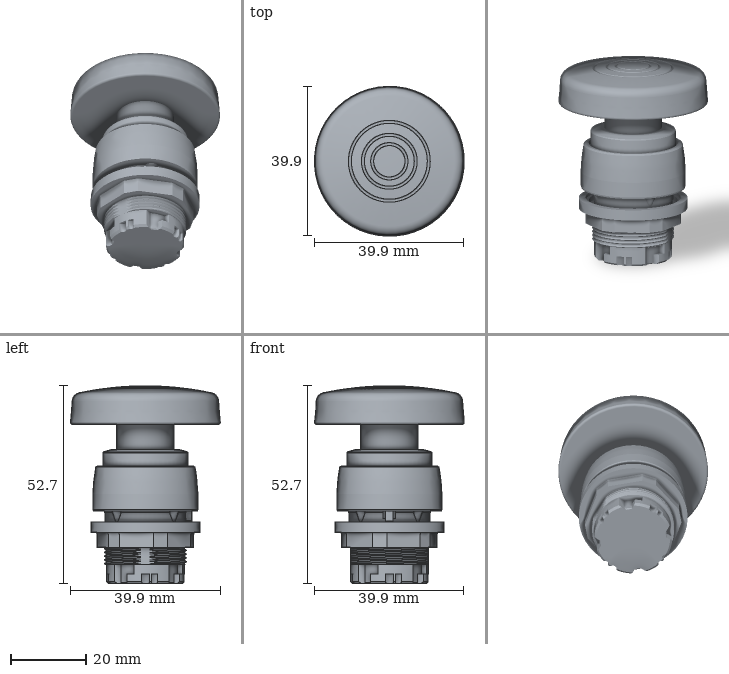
import cadquery as cq
import math


body_top = 5.1
thread_top = 9.7
nut_top = 13.65
flange_top = 16.45
collar_bottom = 19.4
collar_top = 31.4
plug_shoulder = 35.1
plug_top = 35.75
cap_bottom = 42.4
total_height = 52.7

body_radius = 20.75 / 2
body_chamfer = 0.6
slot_floor_radius = 18.1 / 2
slot_floor_chamfer = 0.25
slot_wall_offset = 6.3
entry_wall_offset = 4.95
arm_end_offset = 3.0
arm_bottom = 2.6
groove_centers_and_radii = ((0.05, 1.05), (2.5, 0.85))

thread_major_radius = 21.85 / 2
thread_root_radius = 20.9 / 2
thread_pitch = 1.0
thread_base_width = 0.9
thread_sink = 0.15
thread_flat_distance = 20.75

nut_sides = 6
nut_radius = 12.85
nut_flat_span = 42.5
nut_turn = 18.5
nut_flare_height = 0.55
nut_flare = 0.15

flange_radius = 29.0 / 2
recess_radius = 25.35 / 2
recess_depth = 0.8
inner_recess_radius = 11.8
inner_recess_depth = 2.1

neck_radius = 21.6 / 2
neck_bottom = 16.25
neck_rim_radius = 21.85 / 2
neck_rim_height = 0.4
spike_bottom_radius = 0.75
spike_top_radius = 1.9
spike_axis_inset = 0.8
tab_width = 2.0
tab_reach = 12.4
tab_bottom = 16.75
pocket_width = 3.35
pocket_bottom = 17.4
pocket_depth = 0.55

collar_radius = 28.0 / 2
collar_bottom_radius = 27.65 / 2
collar_bottom_chamfer = 0.4
collar_straight_top = 23.85
collar_mid_radius = 13.75
collar_shoulder_radius = 13.25
collar_shoulder_drop = 0.35
collar_top_radius = 25.35 / 2
plug_radius = 22.7 / 2
plug_edge_chamfer = 0.3
plug_top_radius = 18.1 / 2
gap_outer_radius = 11.85
gap_depth = 1.05
stem_radius = 15.3 / 2

cap_radius = 39.9 / 2
cap_bottom_edge = 0.65
cap_side_top = 48.65
cap_side_top_radius = 19.5
cap_dome_edge_radius = 17.5
cap_dome_edge = 50.85
ring_groove_radii = (4.6, 7.05, 10.55)
ring_groove_width = 0.8
ring_groove_depth = 0.2


def cylinder(radius, bottom, top):
    return cq.Workplane("XY").workplane(offset=bottom).circle(radius).extrude(top - bottom)


def block(x_min, x_max, y_min, y_max, z_min, z_max):
    size = (x_max - x_min, y_max - y_min, z_max - z_min)
    return cq.Workplane("XY").box(*size, centered=False).translate((x_min, y_min, z_min))


def revolve(profile):
    return profile.close().revolve(360, (0, 0, 0), (0, 1, 0))


def around_axis(shape, start=0):
    """Four copies of a shape, a quarter turn apart."""
    copies = cq.Workplane("XY")
    for quarter in range(4):
        copies = copies.add(shape.rotate((0, 0, 0), (0, 0, 1), start + 90 * quarter))
    return copies.vals()


def cut_all(solid, cutters):
    for cutter in cutters:
        solid = solid.cut(cq.Workplane(cutter))
    return solid


def make_body():
    body = cylinder(body_radius, 0, body_top).faces("<Z").chamfer(body_chamfer)
    outside = -2 * body_radius
    entry = block(outside, -entry_wall_offset, outside, -slot_wall_offset, 0, body_top)
    arm = block(outside, -arm_end_offset, outside, -slot_wall_offset, arm_bottom, body_top)
    slot_floor = cylinder(slot_floor_radius, 0, body_top).faces("<Z").chamfer(slot_floor_chamfer)
    slot = entry.union(arm).cut(slot_floor)
    body = cut_all(body, around_axis(slot))
    for center, radius in groove_centers_and_radii:
        rim_y = -math.sqrt(body_radius**2 - center**2)
        groove = cylinder(radius, 0, arm_bottom).translate((center, rim_y, 0))
        body = cut_all(body, around_axis(groove))
    return body


def make_thread():
    base_radius = thread_root_radius - thread_sink
    start = body_top - thread_pitch
    height = thread_top - body_top + 2 * thread_pitch
    helix = cq.Wire.makeHelix(thread_pitch, height, base_radius, center=cq.Vector(0, 0, start))
    half_width = thread_base_width / 2
    ridge = (
        cq.Workplane("XZ")
        .moveTo(base_radius, start - half_width)
        .lineTo(thread_major_radius, start)
        .lineTo(base_radius, start + half_width)
        .close()
        .sweep(cq.Workplane(helix), isFrenet=True)
    )
    half_flat = thread_flat_distance / 2
    reach = 2 * thread_major_radius
    envelope = block(-half_flat, half_flat, -reach, reach, body_top, thread_top)
    core = cylinder(thread_root_radius, start - thread_pitch, start + height + thread_pitch)
    return core.union(ridge).intersect(envelope)


def nut_outline(radius, height):
    corners = []
    for side in range(nut_sides):
        middle = math.radians(nut_turn - 90 + side * 360 / nut_sides)
        half_span = math.radians(nut_flat_span / 2)
        for angle in (middle - half_span, middle + half_span):
            corners.append((radius * math.cos(angle), radius * math.sin(angle)))
    return cq.Workplane("XY").workplane(offset=height).polyline(corners).close()


def make_nut():
    flare_bottom = nut_top - nut_flare_height
    prism = nut_outline(nut_radius, thread_top).extrude(flare_bottom - thread_top)
    flare_angle = math.degrees(math.atan(nut_flare / nut_flare_height))
    flare = nut_outline(nut_radius, flare_bottom).extrude(nut_flare_height, taper=-flare_angle)
    return prism.union(flare)


def make_flange():
    flange = cylinder(flange_radius, nut_top, flange_top)
    flange = flange.cut(cylinder(recess_radius, flange_top - recess_depth, flange_top))
    return flange.cut(cylinder(inner_recess_radius, flange_top - inner_recess_depth, flange_top))


def make_neck():
    neck = cylinder(thread_root_radius, nut_top, neck_bottom)
    neck = neck.union(cylinder(neck_radius, neck_bottom, collar_bottom))
    neck = neck.union(cylinder(neck_rim_radius, collar_bottom - neck_rim_height, collar_bottom))
    spike_base = cq.Vector(neck_radius - spike_axis_inset, 0, neck_bottom)
    spike_height = collar_bottom - neck_bottom
    cone = cq.Solid.makeCone(spike_bottom_radius, spike_top_radius, spike_height, spike_base)
    for spike in around_axis(cq.Workplane(cone), start=45):
        neck = neck.union(cq.Workplane(spike))
    half_pocket = pocket_width / 2
    pocket_floor = -neck_radius + pocket_depth
    pocket = block(-half_pocket, half_pocket, -tab_reach, pocket_floor, pocket_bottom, collar_bottom)
    half_tab = tab_width / 2
    tab = block(-half_tab, half_tab, -tab_reach, -neck_radius / 2, tab_bottom, collar_bottom)
    return neck.cut(pocket).union(tab)


def make_collar_and_plug():
    shoulder = collar_top - collar_shoulder_drop
    taper_middle = (collar_straight_top + shoulder) / 2
    profile = (
        cq.Workplane("XZ")
        .moveTo(0, collar_bottom)
        .lineTo(collar_bottom_radius, collar_bottom)
        .lineTo(collar_radius, collar_bottom + collar_bottom_chamfer)
        .lineTo(collar_radius, collar_straight_top)
        .threePointArc((collar_mid_radius, taper_middle), (collar_shoulder_radius, shoulder))
        .lineTo(collar_top_radius, collar_top)
        .lineTo(gap_outer_radius, collar_top)
        .lineTo(gap_outer_radius, collar_top - gap_depth)
        .lineTo(plug_radius, collar_top - gap_depth)
        .lineTo(plug_radius, plug_shoulder - plug_edge_chamfer)
        .lineTo(plug_radius - plug_edge_chamfer / 2, plug_shoulder)
        .lineTo(plug_top_radius, plug_top)
        .lineTo(0, plug_top)
    )
    return revolve(profile)


def dome_radius():
    rise = total_height - cap_dome_edge
    return (cap_dome_edge_radius**2 + rise**2) / (2 * rise)


def dome_height(radius):
    sphere = dome_radius()
    return total_height - sphere + math.sqrt(sphere**2 - radius**2)


def make_cap():
    side_bottom = cap_bottom + cap_bottom_edge
    half_edge = cap_dome_edge_radius / 2
    profile = (
        cq.Workplane("XZ")
        .moveTo(0, cap_bottom)
        .lineTo(cap_radius - cap_bottom_edge, cap_bottom)
        .radiusArc((cap_radius, side_bottom), -cap_bottom_edge)
        .lineTo(cap_side_top_radius, cap_side_top)
        .tangentArcPoint((cap_dome_edge_radius, cap_dome_edge), relative=False)
        .threePointArc((half_edge, dome_height(half_edge)), (0, total_height))
    )
    cap = revolve(profile)
    half_width = ring_groove_width / 2
    groove_radius = (half_width**2 + ring_groove_depth**2) / (2 * ring_groove_depth)
    for ring_radius in ring_groove_radii:
        center_height = dome_height(ring_radius) + groove_radius - ring_groove_depth
        center = cq.Vector(0, 0, center_height)
        cap = cap.cut(cq.Workplane(cq.Solid.makeTorus(ring_radius, groove_radius, center)))
    return cap


stem = cylinder(stem_radius, plug_top, cap_bottom)
sections = (
    make_thread(),
    make_nut(),
    make_flange(),
    make_neck(),
    make_collar_and_plug(),
    stem,
    make_cap(),
)
result = make_body()
for section in sections:
    result = result.union(section)